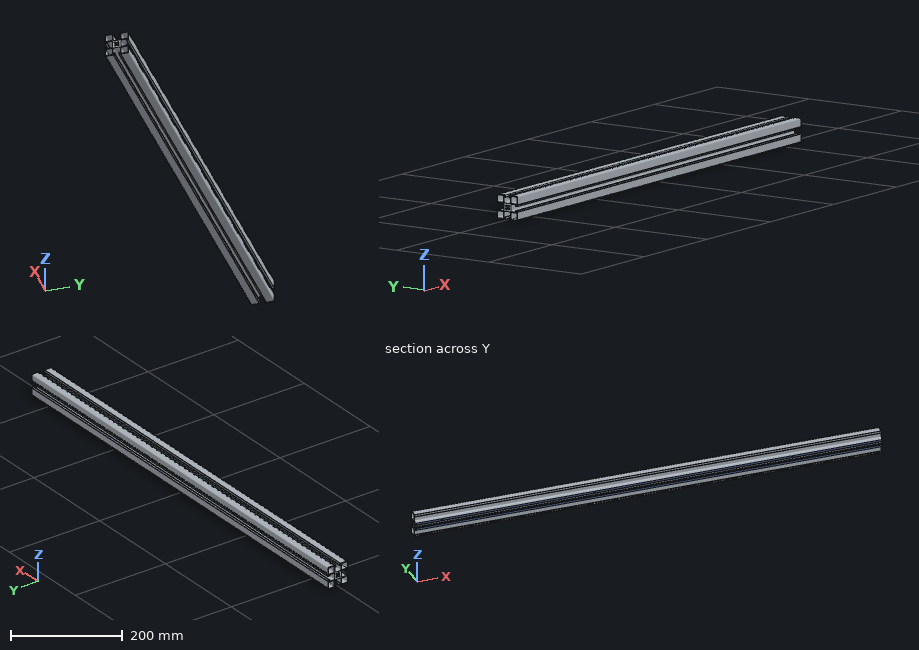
import cadquery as cq

LENGTH = 900.0
WIDTH = 45.0
HALF_WIDTH = WIDTH / 2
CORNER_RADIUS = 2.5

SLOT_HALF_OPENING = 4.1
SLOT_MOUTH_RADIUS = 0.45
LIP_THICKNESS = 1.35
LIP_HOOK_DEPTH = 4.5
LIP_HOOK_WIDTH = 2.2
CAVITY_HALF_WIDTH = 6.75
CAVITY_CORNER_RADIUS = 2.4
CORE_HALF_WIDTH = 7.6

SKIN_THICKNESS = 1.6
WEB_THICKNESS = 1.7
CHAMBER_CORNER_RADIUS = 1.1
CHAMBER_CROWN = 0.3

BORE_RADIUS = 3.1
LOBE_WIDTH = 2.0
LOBE_REACH = 4.95
LOBE_ANGLES = (45, 135)

SIDES = 4
TOLERANCE = 0.01
OVERCUT = 1.0


def bar():
    """Square bar along X, its long edges rounded."""
    return cq.Workplane("YZ").rect(WIDTH, WIDTH).extrude(LENGTH).edges("|X").fillet(CORNER_RADIUS)


def edges_at(body, positions):
    """Edges of the body along X that pass through any of the given (y, z) positions."""

    def passes(edge):
        center = edge.Center()
        return any(
            abs(center.y - y) < TOLERANCE and abs(center.z - z) < TOLERANCE for y, z in positions
        )

    return body.newObject([edge for edge in body.edges("|X").vals() if passes(edge)])


def slot():
    """T-slot open to +Y, with hooked lips and rounded cavity corners."""
    lip_back = HALF_WIDTH - LIP_THICKNESS
    hook_tip = HALF_WIDTH - LIP_HOOK_DEPTH
    upper_half = [
        (HALF_WIDTH + OVERCUT, SLOT_HALF_OPENING),
        (hook_tip, SLOT_HALF_OPENING),
        (hook_tip, SLOT_HALF_OPENING + LIP_HOOK_WIDTH / 2),
        (lip_back, SLOT_HALF_OPENING + LIP_HOOK_WIDTH),
        (lip_back, CAVITY_HALF_WIDTH),
        (CORE_HALF_WIDTH, CAVITY_HALF_WIDTH),
    ]
    lower_half = [(y, -z) for y, z in reversed(upper_half)]
    cavity = cq.Workplane("YZ").polyline(upper_half + lower_half).close().extrude(LENGTH)
    floor_corners = [(CORE_HALF_WIDTH, side * CAVITY_HALF_WIDTH) for side in (1, -1)]
    return edges_at(cavity, floor_corners).fillet(CAVITY_CORNER_RADIUS)


def chamber():
    """Closed corner chamber whose walls bow outward slightly to a crease at their middle."""
    near = CAVITY_HALF_WIDTH + WEB_THICKNESS
    far = HALF_WIDTH - SKIN_THICKNESS
    middle = (near + far) / 2
    near_crease = near - CHAMBER_CROWN
    far_crease = far + CHAMBER_CROWN
    outline = [
        (near, near),
        (middle, near_crease),
        (far, near),
        (far_crease, middle),
        (far, far),
        (middle, far_crease),
        (near, far),
        (near_crease, middle),
    ]
    corners = [(y, z) for y in (near, far) for z in (near, far)]
    body = cq.Workplane("YZ").polyline(outline).close().extrude(LENGTH)
    return edges_at(body, corners).fillet(CHAMBER_CORNER_RADIUS)


def bore():
    """Round bore through the core, with narrow lobes reaching out along both diagonals."""
    body = cq.Workplane("YZ").circle(BORE_RADIUS).extrude(LENGTH)
    for angle in LOBE_ANGLES:
        lobes = cq.Workplane("YZ").slot2D(2 * LOBE_REACH, LOBE_WIDTH, angle).extrude(LENGTH)
        body = body.union(lobes)
    return body


def round_slot_mouths(body):
    """Round the outer edges of all slot openings."""
    mouths = []
    for depth in (HALF_WIDTH, -HALF_WIDTH):
        for offset in (SLOT_HALF_OPENING, -SLOT_HALF_OPENING):
            mouths += [(depth, offset), (offset, depth)]
    return edges_at(body, mouths).fillet(SLOT_MOUTH_RADIUS)


profile = bar()
for side in range(SIDES):
    angle = side * 360 / SIDES
    for cutter in (slot(), chamber()):
        profile = profile.cut(cutter.rotate((0, 0, 0), (1, 0, 0), angle))
profile = round_slot_mouths(profile).cut(bore())

result = profile.translate((-LENGTH / 2, 0, 0))